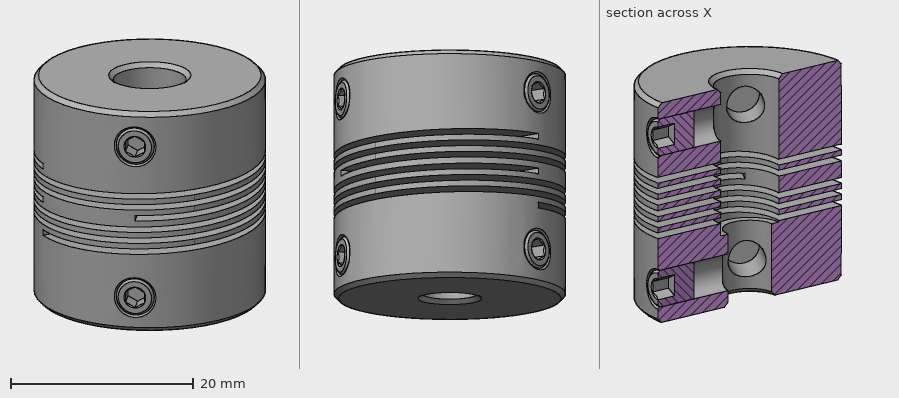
import cadquery as cq
import math

DIAMETER = 25.4
LENGTH = 25.4
RADIUS = DIAMETER / 2
END_CHAMFER = 0.5

TOP_BORE_DIAMETER = 8.0
BOTTOM_BORE_DIAMETER = 6.0
BORE_CHAMFER = 0.5
BORE_STEP_Z = 8.38

SLIT_WIDTH = 0.64
SLIT_LEAD = 2.55
SLIT_STARTS = 2
SLIT_TOP_ANGLE = 90.0
UPPER_STAGE_TOP_Z = 16.54
UPPER_STAGE_TURNS = 4 / 3
LOWER_STAGE_TOP_Z = 12.67
LOWER_STAGE_TURNS = 3 / 2
SLIT_STAGES = ((UPPER_STAGE_TOP_Z, UPPER_STAGE_TURNS), (LOWER_STAGE_TOP_Z, LOWER_STAGE_TURNS))
SLIT_OVERCUT = 0.75

SCREW_DIAMETER = 4.2
SCREW_LENGTH = 5.0
SCREW_CHAMFER = 0.25
SCREW_HOLE_CHAMFER = 0.2
SCREW_END_DISTANCE = 3.95
SCREW_ANGLES = (90.0, -30.0)
SCREW_HEIGHTS = (SCREW_END_DISTANCE, LENGTH - SCREW_END_DISTANCE)
SOCKET_FLATS = 2.08
SOCKET_DEPTH = 2.29
SOCKET_CORNERS = SOCKET_FLATS / math.cos(math.pi / 6)
SOCKET_CHAMFER = (SOCKET_CORNERS - SOCKET_FLATS) / 2
SOCKET_CHAMFER_ANGLE = 45


def radial_plane(angle, height):
    """Plane centred on the axis at the given height, with its normal pointing radially outwards."""
    turn = math.radians(angle)
    outward = (math.cos(turn), math.sin(turn), 0)
    sideways = (-math.sin(turn), math.cos(turn), 0)
    return cq.Plane(origin=(0, 0, height), xDir=sideways, normal=outward)


def make_blank():
    """Chamfered cylinder with the stepped bore and the chamfers at the bore mouths."""
    top_radius = TOP_BORE_DIAMETER / 2
    bottom_radius = BOTTOM_BORE_DIAMETER / 2
    profile = [
        (bottom_radius + BORE_CHAMFER, 0),
        (RADIUS - END_CHAMFER, 0),
        (RADIUS, END_CHAMFER),
        (RADIUS, LENGTH - END_CHAMFER),
        (RADIUS - END_CHAMFER, LENGTH),
        (top_radius + BORE_CHAMFER, LENGTH),
        (top_radius, LENGTH - BORE_CHAMFER),
        (top_radius, BORE_STEP_Z),
        (bottom_radius, BORE_STEP_Z),
        (bottom_radius, BORE_CHAMFER),
    ]
    return cq.Workplane("XZ").polyline(profile).close().revolve(360, (0, 0), (0, 1))


def make_slit_cutters(top_z, turns):
    """Rectangles swept along right-handed helices that end at top_z, evenly spaced around the axis."""
    rise = SLIT_LEAD * turns
    inner = TOP_BORE_DIAMETER / 2 - SLIT_OVERCUT
    outer = RADIUS + SLIT_OVERCUT
    middle = (inner + outer) / 2
    helix = cq.Workplane(cq.Wire.makeHelix(SLIT_LEAD, rise, middle))
    cutter = (
        cq.Workplane("XZ", origin=(middle, 0, 0))
        .rect(outer - inner, SLIT_WIDTH)
        .sweep(helix, isFrenet=True)
        .translate((0, 0, top_z - rise))
    )
    first_angle = SLIT_TOP_ANGLE - 360 * turns
    return [
        cutter.rotate((0, 0, 0), (0, 0, 1), first_angle + 360 * start / SLIT_STARTS)
        for start in range(SLIT_STARTS)
    ]


def cut_screw_hole(body, angle, height):
    """Cut a radial hole from the bore out through the wall and chamfer its curved outer rim."""
    axis = radial_plane(angle, height)
    drill = cq.Workplane(axis).circle(SCREW_DIAMETER / 2).extrude(DIAMETER)
    rim_centre = axis.toWorldCoords((0, 0, RADIUS))
    rim = cq.NearestToPointSelector(rim_centre.toTuple())
    return body.cut(drill).edges(rim).chamfer(SCREW_HOLE_CHAMFER)


def make_set_screw(angle, height):
    """Headless screw with a countersunk hexagon socket, its flat outer end level with the outer wall."""
    outer_end = radial_plane(angle, height)
    outer_end.origin += outer_end.zDir * RADIUS
    shank = (
        cq.Workplane(outer_end)
        .circle(SCREW_DIAMETER / 2)
        .extrude(-SCREW_LENGTH)
        .faces(cq.DirectionMinMaxSelector(outer_end.zDir))
        .chamfer(SCREW_CHAMFER)
    )
    hexagon = (
        cq.Workplane(outer_end.rotated((0, 0, 90)))
        .polygon(6, SOCKET_CORNERS)
        .extrude(-SOCKET_DEPTH)
    )
    countersink = (
        cq.Workplane(outer_end)
        .circle(SOCKET_CORNERS / 2)
        .extrude(-SOCKET_CHAMFER, taper=SOCKET_CHAMFER_ANGLE)
    )
    return shank.cut(hexagon).cut(countersink)


screw_places = [(angle, height) for height in SCREW_HEIGHTS for angle in SCREW_ANGLES]

coupling = make_blank()
for angle, height in screw_places:
    coupling = cut_screw_hole(coupling, angle, height)
for top_z, turns in SLIT_STAGES:
    for cutter in make_slit_cutters(top_z, turns):
        coupling = coupling.cut(cutter)

screws = [make_set_screw(angle, height) for angle, height in screw_places]

result = cq.Compound.makeCompound([coupling.val(), *(screw.val() for screw in screws)])